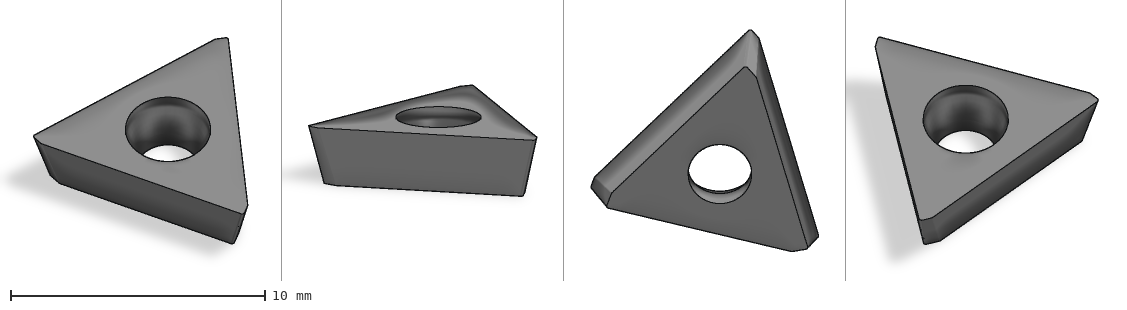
import cadquery as cq
import math

THICKNESS = 2.38
SIDE_DISTANCE = 2.78
CORNER_REACH = 4.555
FACET_TILT = 5.5
SIDE_CLEARANCE = 7.0
CORNER_CLEARANCE = 13.5
EDGE_RADIUS = 0.1
CORNER_COUNT = 3

BORE_RADIUS = 2.5 / 2
COUNTERBORE_RADIUS = 3.35 / 2
COUNTERBORE_DEPTH = 0.34
BLEND_RADIUS = 0.4
SEAT_RADIUS = 2.0


def line_crossing(first_angle, first_distance, second_angle, second_distance):
    """Crossing point of two lines, each given by its outward direction and distance from the axis."""
    spread = math.sin(second_angle - first_angle)
    x = (first_distance * math.sin(second_angle) - second_distance * math.sin(first_angle)) / spread
    y = (second_distance * math.cos(first_angle) - first_distance * math.cos(second_angle)) / spread
    return x, y


def outline_points(side_distance, corner_reach):
    """Sharp six-sided outline: a triangle with each tip cut off by a slightly tilted facet."""
    corner_step = 2 * math.pi / CORNER_COUNT
    side_angle = math.pi
    next_side_angle = side_angle + corner_step
    facet_angle = side_angle + math.pi / 2 + math.radians(FACET_TILT)
    arc_center_x = EDGE_RADIUS - side_distance
    arc_center_y = EDGE_RADIUS - corner_reach
    facet_distance = (
        arc_center_x * math.cos(facet_angle) + arc_center_y * math.sin(facet_angle) + EDGE_RADIUS
    )
    points = []
    for corner in range(CORNER_COUNT):
        turn = corner * corner_step
        facet = (facet_angle + turn, facet_distance)
        points.append(line_crossing(side_angle + turn, side_distance, *facet))
        points.append(line_crossing(*facet, next_side_angle + turn, side_distance))
    return points


def insert_body():
    """Tapered body, narrower at the bottom, with its upright edges rounded."""
    side_inset = THICKNESS * math.tan(math.radians(SIDE_CLEARANCE))
    corner_inset = THICKNESS * math.tan(math.radians(CORNER_CLEARANCE))
    bottom = outline_points(SIDE_DISTANCE - side_inset, CORNER_REACH - corner_inset)
    top = outline_points(SIDE_DISTANCE, CORNER_REACH)
    body = (
        cq.Workplane("XY")
        .polyline(bottom)
        .close()
        .workplane(offset=THICKNESS)
        .polyline(top)
        .close()
        .loft(ruled=True)
    )
    return body.edges("not(#Z)").fillet(EDGE_RADIUS)


def screw_hole():
    """Solid of revolution about Z that clears the screw hole."""
    radius_drop = COUNTERBORE_RADIUS - BORE_RADIUS
    turn = math.acos(1 - radius_drop / (BLEND_RADIUS + SEAT_RADIUS))
    blend_top = THICKNESS - COUNTERBORE_DEPTH
    seat_bottom = blend_top - (BLEND_RADIUS + SEAT_RADIUS) * math.sin(turn)

    def blend_point(angle):
        return (
            COUNTERBORE_RADIUS - BLEND_RADIUS * (1 - math.cos(angle)),
            blend_top - BLEND_RADIUS * math.sin(angle),
        )

    def seat_point(angle):
        return (
            BORE_RADIUS + SEAT_RADIUS * (1 - math.cos(angle)),
            seat_bottom + SEAT_RADIUS * math.sin(angle),
        )

    return (
        cq.Workplane("XZ")
        .moveTo(0, THICKNESS)
        .lineTo(COUNTERBORE_RADIUS, THICKNESS)
        .lineTo(COUNTERBORE_RADIUS, blend_top)
        .threePointArc(blend_point(turn / 2), blend_point(turn))
        .threePointArc(seat_point(turn / 2), (BORE_RADIUS, seat_bottom))
        .lineTo(BORE_RADIUS, 0)
        .lineTo(0, 0)
        .close()
        .revolve(360, (0, 0, 0), (0, 1, 0))
    )


result = insert_body().cut(screw_hole())